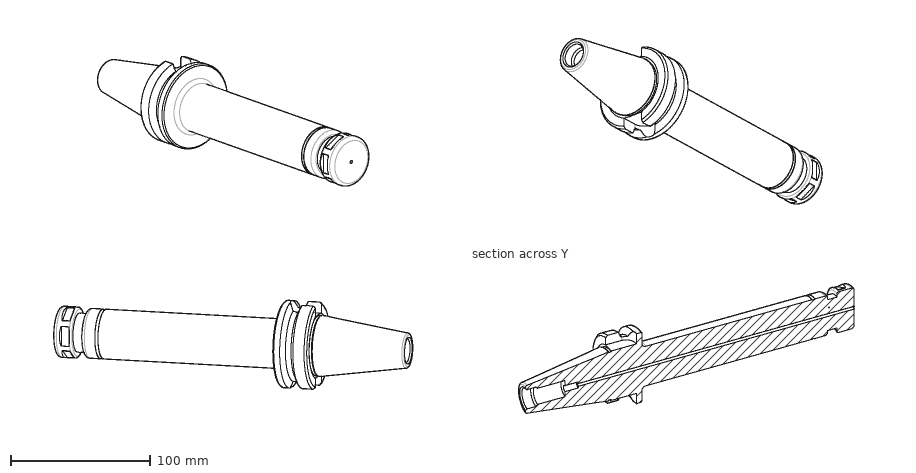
import cadquery as cq
import math

LENGTH = 260.5
CLEARANCE = 0.3

TAPER_LENGTH = 65.4
GAUGE_RADIUS = 22.1
TAPER_RATIO = 7 / 24
SMALL_RADIUS = GAUGE_RADIUS - TAPER_LENGTH * TAPER_RATIO / 2
NOSE_FILLET = 1.3

RELIEF_RADIUS = 21.5
RELIEF_START = 66.1
RELIEF_END = 68.0
RELIEF_MOUTH_RADIUS = 23.7

FLANGE_RADIUS = 31.5
FLANGE_START = 67.2
FLANGE_END = 92.5
FLANGE_FRONT_CHAMFER = 1.5
FLANGE_REAR_CHAMFER = 1.0
GROOVE_CENTER = 82.0
GROOVE_FLOOR_RADIUS = 26.5
GROOVE_FLOOR_WIDTH = 4.2
GROOVE_WALL_ANGLE = 30
GROOVE_DEPTH = FLANGE_RADIUS - GROOVE_FLOOR_RADIUS
GROOVE_TOP_WIDTH = GROOVE_FLOOR_WIDTH + 2 * GROOVE_DEPTH * math.tan(math.radians(GROOVE_WALL_ANGLE))

SLOT_WIDTH = 16.1
SLOT_FLOOR = 22.5
SLOT_END = 87.8

SHANK_RADIUS = 18.0
SHANK_END = 239.5
SHANK_ROOT_FILLET = 2.9
SHANK_END_FILLET = 2.5
MARK_START = 226.8
MARK_WIDTH = 2.3
MARK_DEPTH = 0.3
NECK_RADIUS = 14.0

NUT_START = 246.5
NUT_RADIUS = 18.5
NUT_BACK_FILLET = 1.5
NUT_FRONT_FILLET = 2.5
POCKET_COUNT = 6
FIRST_POCKET_ANGLE = 90
POCKET_START = 249.0
POCKET_END = 254.5
POCKET_FLOOR = 16.7
POCKET_WIDTH = 14.3
POCKET_FLARE = 1.0

BORE_RADIUS = 17.0 / 2
BORE_DEPTH = 8.0
BORE_MOUTH_RADIUS = 9.6
THREAD_RADIUS = 14.0 / 2
THREAD_DEPTH = 31.2
COOLANT_RADIUS = 5.0 / 2
COOLANT_DEPTH = 41.7
PINHOLE_RADIUS = 2.0 / 2


def body():
    """Solid of revolution from the taper nose to the nut face."""
    diagonal = math.sqrt(0.5)
    groove_left = GROOVE_CENTER - GROOVE_TOP_WIDTH / 2
    floor_left = GROOVE_CENTER - GROOVE_FLOOR_WIDTH / 2
    floor_right = GROOVE_CENTER + GROOVE_FLOOR_WIDTH / 2
    groove_right = GROOVE_CENTER + GROOVE_TOP_WIDTH / 2
    root_radius = SHANK_RADIUS + SHANK_ROOT_FILLET
    root_end = FLANGE_END + SHANK_ROOT_FILLET
    mark_end = MARK_START + MARK_WIDTH
    mark_radius = SHANK_RADIUS - MARK_DEPTH

    profile = (
        cq.Workplane("XY")
        .moveTo(0, 0)
        .lineTo(0, SMALL_RADIUS)
        .lineTo(TAPER_LENGTH, GAUGE_RADIUS)
        .lineTo(RELIEF_START, RELIEF_RADIUS)
        .lineTo(RELIEF_END, RELIEF_RADIUS)
        .lineTo(FLANGE_START, RELIEF_MOUTH_RADIUS)
        .lineTo(FLANGE_START, FLANGE_RADIUS - FLANGE_FRONT_CHAMFER)
        .lineTo(FLANGE_START + FLANGE_FRONT_CHAMFER, FLANGE_RADIUS)
        .lineTo(groove_left, FLANGE_RADIUS)
        .lineTo(floor_left, GROOVE_FLOOR_RADIUS)
        .lineTo(floor_right, GROOVE_FLOOR_RADIUS)
        .lineTo(groove_right, FLANGE_RADIUS)
        .lineTo(FLANGE_END - FLANGE_REAR_CHAMFER, FLANGE_RADIUS)
        .lineTo(FLANGE_END, FLANGE_RADIUS - FLANGE_REAR_CHAMFER)
        .lineTo(FLANGE_END, root_radius)
        .threePointArc(
            (root_end - SHANK_ROOT_FILLET * diagonal, root_radius - SHANK_ROOT_FILLET * diagonal),
            (root_end, SHANK_RADIUS),
        )
        .lineTo(MARK_START, SHANK_RADIUS)
        .lineTo(MARK_START, mark_radius)
        .lineTo(mark_end, mark_radius)
        .lineTo(mark_end, SHANK_RADIUS)
        .lineTo(SHANK_END, SHANK_RADIUS)
        .lineTo(SHANK_END, NECK_RADIUS)
        .lineTo(NUT_START, NECK_RADIUS)
        .lineTo(NUT_START, NUT_RADIUS)
        .lineTo(LENGTH, NUT_RADIUS)
        .lineTo(LENGTH, 0)
        .close()
    )
    solid = profile.revolve(360, (0, 0, 0), (1, 0, 0))
    solid = round_rim(solid, 0, SMALL_RADIUS, NOSE_FILLET)
    solid = round_rim(solid, SHANK_END, SHANK_RADIUS, SHANK_END_FILLET)
    solid = round_rim(solid, NUT_START, NUT_RADIUS, NUT_BACK_FILLET)
    return round_rim(solid, LENGTH, NUT_RADIUS, NUT_FRONT_FILLET)


def round_rim(solid, x, radius, fillet):
    """Fillet the circular edge of the given radius at position x."""
    reach = radius + CLEARANCE
    rim = cq.selectors.BoxSelector(
        (x - CLEARANCE, -reach, -reach),
        (x + CLEARANCE, reach, reach),
        boundingbox=True,
    )
    edge = max(solid.edges(rim).vals(), key=lambda e: e.Length())
    return solid.newObject([edge]).fillet(fillet)


def drive_slots():
    """Two opposite round-ended slots, open toward the taper."""
    round_center = SLOT_END - SLOT_WIDTH / 2
    slot = (
        cq.Workplane("XY")
        .workplane(offset=SLOT_FLOOR)
        .moveTo(TAPER_LENGTH, -SLOT_WIDTH / 2)
        .lineTo(round_center, -SLOT_WIDTH / 2)
        .threePointArc((SLOT_END, 0), (round_center, SLOT_WIDTH / 2))
        .lineTo(TAPER_LENGTH, SLOT_WIDTH / 2)
        .close()
        .extrude(FLANGE_RADIUS)
    )
    return slot.union(slot.mirror("XY"))


def wrench_pockets():
    """Flat-floored pockets around the nut, with end walls that flare outward."""
    top = NUT_RADIUS + CLEARANCE
    flare = POCKET_FLARE * (top - POCKET_FLOOR) / (NUT_RADIUS - POCKET_FLOOR)
    pocket = (
        cq.Workplane("XZ")
        .polyline(
            [
                (POCKET_START, POCKET_FLOOR),
                (POCKET_END, POCKET_FLOOR),
                (POCKET_END + flare, top),
                (POCKET_START - flare, top),
            ]
        )
        .close()
        .extrude(POCKET_WIDTH / 2, both=True)
    )
    pockets = cq.Workplane("XY")
    for index in range(POCKET_COUNT):
        angle = FIRST_POCKET_ANGLE + index * 360 / POCKET_COUNT
        pockets = pockets.add(pocket.rotate((0, 0, 0), (1, 0, 0), angle))
    return pockets.combine()


def pull_stud_bore():
    """Stepped bore from the taper nose, narrowing to a coolant hole and a through pinhole."""
    mouth = BORE_MOUTH_RADIUS - BORE_RADIUS
    cone = BORE_RADIUS - THREAD_RADIUS
    return (
        cq.Workplane("XY")
        .polyline(
            [
                (0, 0),
                (0, BORE_MOUTH_RADIUS),
                (mouth, BORE_RADIUS),
                (BORE_DEPTH, BORE_RADIUS),
                (BORE_DEPTH + cone, THREAD_RADIUS),
                (THREAD_DEPTH, THREAD_RADIUS),
                (THREAD_DEPTH, COOLANT_RADIUS),
                (COOLANT_DEPTH, COOLANT_RADIUS),
                (COOLANT_DEPTH, PINHOLE_RADIUS),
                (LENGTH, PINHOLE_RADIUS),
                (LENGTH, 0),
            ]
        )
        .close()
        .revolve(360, (0, 0, 0), (1, 0, 0))
    )


result = body().cut(drive_slots()).cut(wrench_pockets()).cut(pull_stud_bore())